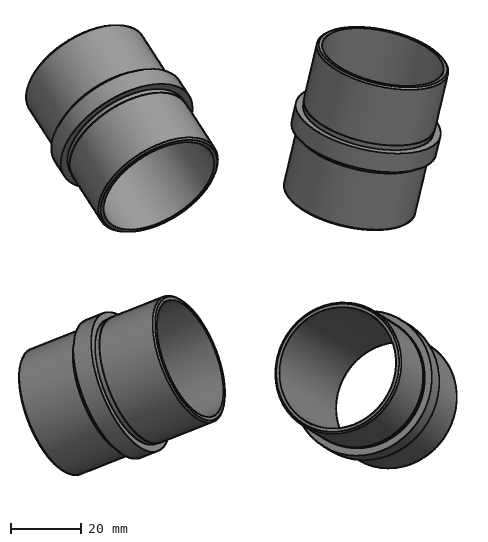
import cadquery as cq

length = 46.0
collar_diameter = 42.4
collar_width = 6.0
spigot_diameter = 38.5
groove_diameter = 38.2
groove_width = 1.5
bore_diameter = 35.5
end_chamfer = 0.5


def cylinder_along_x(diameter, width):
    """Cylinder on the X axis, centred on the origin."""
    return cq.Workplane("YZ", origin=(-width / 2, 0, 0)).circle(diameter / 2).extrude(width)


def ring_along_x(outer_diameter, inner_diameter, width):
    """Plain ring on the X axis, centred on the origin."""
    return cylinder_along_x(outer_diameter, width).cut(cylinder_along_x(inner_diameter, width))


body = cylinder_along_x(spigot_diameter, length).faces("<X or >X").chamfer(end_chamfer)

relief_width = collar_width + 2 * groove_width
body = body.cut(ring_along_x(spigot_diameter, groove_diameter, relief_width))

body = body.union(cylinder_along_x(collar_diameter, collar_width))

result = body.cut(cylinder_along_x(bore_diameter, length))